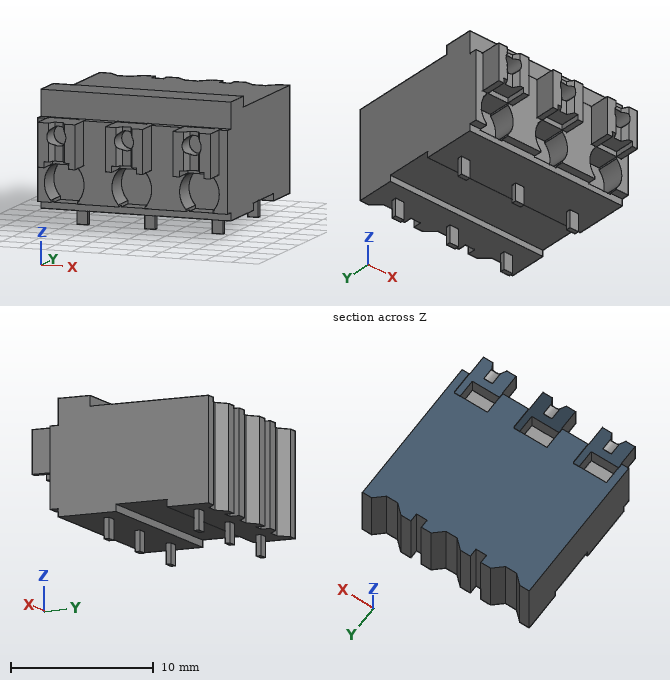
import cadquery as cq


pole_count = 3
pole_pitch = 5.08
pole_positions = [(i - (pole_count - 1) / 2) * pole_pitch for i in range(pole_count)]

housing_width = 14.26
body_height = 7.71
head_height = 8.48
head_back = 9.2
head_front = 11.66
nose_front = 12.3
nose_top = 6.56
nose_bottom = 0.58
relief_back = 3.22
relief_front = 7.19
relief_height = 0.53

back_cut_depth = 0.7
scallop_mouth_width = 2.48
scallop_floor_width = 0.94
separator_slot_width = 0.87

lever_width = 2.81
lever_bottom = 3.35
lever_front = 14.0
lever_tail_width = 0.51
lever_gap = 0.23
groove_mouth_width = 1.2
groove_floor_width = 0.63
groove_depth = 0.51
tool_hole_diameter = 1.43
tool_hole_depth = 1.43
tool_hole_height = 5.58
underside_notch_width = 1.85
underside_notch_height = 0.43

cavity_back = 10.44
entry_offset = -0.05
entry_neck_width = 2.01
entry_belly_width = 2.98
entry_floor = 0.48
entry_belly_bottom = 0.73
entry_belly_top = 3.2

pin_width = 0.8
pin_thickness = 0.37
pin_length = 1.51
pin_rows = [1.71, 8.7]


def box(x_center, width, back, front, bottom, top):
    """Box centred on x_center that runs forward from `back` to `front`."""
    return (
        cq.Workplane("XY")
        .box(width, front - back, top - bottom, centered=(True, False, False))
        .translate((x_center, -front, bottom))
    )


def tapered_cut(x_center, start, end, start_width, end_width, bottom, top):
    """Upright prism with a trapezoidal plan, from y = start to y = end."""
    return (
        cq.Workplane("XY", origin=(x_center, 0, bottom))
        .polyline(
            [
                (-start_width / 2, start),
                (start_width / 2, start),
                (end_width / 2, end),
                (-end_width / 2, end),
            ]
        )
        .close()
        .extrude(top - bottom)
    )


def housing_blank():
    outline = [
        (0, 0),
        (0, body_height),
        (-head_back, body_height),
        (-head_back, head_height),
        (-head_front, head_height),
        (-head_front, nose_top),
        (-nose_front, nose_top),
        (-nose_front, nose_bottom),
        (-head_front, nose_bottom),
        (-head_front, 0),
        (-relief_front, 0),
        (-relief_front, relief_height),
        (-relief_back, relief_height),
        (-relief_back, 0),
    ]
    return cq.Workplane("YZ").polyline(outline).close().extrude(housing_width / 2, both=True)


def wire_entry(pole_x):
    """Blind opening with bulging sides, open at the top into the lever pocket."""
    neck = entry_neck_width / 2
    belly = entry_belly_width / 2
    belly_middle = (entry_belly_bottom + entry_belly_top) / 2
    return (
        cq.Workplane("XZ", origin=(pole_x + entry_offset, -cavity_back, 0))
        .moveTo(-neck, entry_floor)
        .lineTo(neck, entry_floor)
        .lineTo(neck, entry_belly_bottom)
        .threePointArc((belly, belly_middle), (neck, entry_belly_top))
        .lineTo(neck, lever_bottom)
        .lineTo(-neck, lever_bottom)
        .lineTo(-neck, entry_belly_top)
        .threePointArc((-belly, belly_middle), (-neck, entry_belly_bottom))
        .close()
        .extrude(nose_front - cavity_back)
    )


def make_housing():
    housing = housing_blank()
    for pole_x in pole_positions:
        lever_pocket = box(pole_x, lever_width, cavity_back, nose_front, lever_bottom, nose_top)
        scallop = tapered_cut(
            pole_x, 0, -back_cut_depth, scallop_mouth_width, scallop_floor_width, 0, body_height
        )
        housing = housing.cut(lever_pocket).cut(wire_entry(pole_x)).cut(scallop)
    for pole_x in pole_positions[:-1]:
        slot_x = pole_x + pole_pitch / 2
        housing = housing.cut(box(slot_x, separator_slot_width, 0, back_cut_depth, 0, body_height))
    return housing


def make_lever(pole_x):
    """Push block that fills its pocket, apart from a recess behind it beside a tail on the +X side.

    The recess leaves a base as thick as the underside notch. The notch clears the wire entry
    and stops flush with the housing nose.
    """
    notch_top = lever_bottom + underside_notch_height
    block = box(pole_x, lever_width, cavity_back, lever_front, lever_bottom, nose_top)
    rear_recess = box(
        pole_x - lever_tail_width / 2,
        lever_width - lever_tail_width,
        cavity_back,
        head_front + lever_gap,
        notch_top,
        nose_top,
    )
    groove = tapered_cut(
        pole_x,
        -lever_front,
        -lever_front + groove_depth,
        groove_mouth_width,
        groove_floor_width,
        lever_bottom,
        nose_top,
    )
    tool_hole = (
        cq.Workplane("XZ", origin=(pole_x, -lever_front + tool_hole_depth, tool_hole_height))
        .circle(tool_hole_diameter / 2)
        .extrude(tool_hole_depth)
    )
    underside_notch = box(
        pole_x, underside_notch_width, nose_front, lever_front, lever_bottom, notch_top
    )
    return block.cut(rear_recess).cut(groove).cut(tool_hole).cut(underside_notch)


def make_pin(pole_x, row):
    """Solder pin that hangs from the underside of the housing."""
    half_thickness = pin_thickness / 2
    return box(pole_x, pin_width, row - half_thickness, row + half_thickness, -pin_length, 0)


housing = make_housing()
levers = [make_lever(pole_x) for pole_x in pole_positions]
pins = [make_pin(pole_x, row) for pole_x in pole_positions for row in pin_rows]

result = cq.Compound.makeCompound([body.val() for body in [housing, *levers, *pins]])